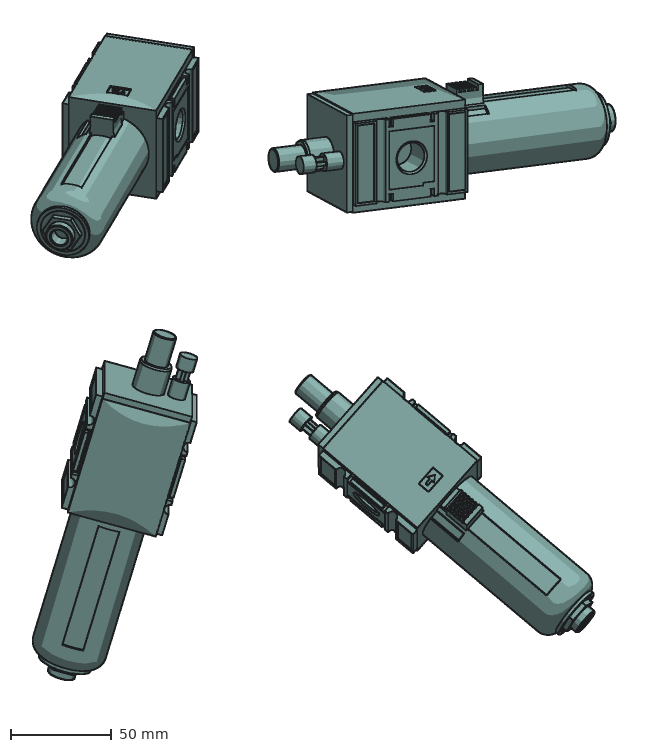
import cadquery as cq
import math


block_width = 45.5
block_length = 62.0
block_flat_height = 51.0
crown_rise = 1.5
crown_slope_length = 6.4
lid_length = 3.2
lid_height = 50.0
lid_side_inset = 0.1
block_top = block_flat_height / 2
front_y = -block_length / 2
back_y = block_length / 2
lid_y = back_y + lid_length

overall_width = 52.0
plate_height = 42.4
plate_end_inset = 0.1
plate_thickness = (overall_width - block_width) / 2
plate_x = overall_width / 2
panel_length = 9.2
panel_height = 40.0
panel_depth = 0.7
panel_center_y = 25.2
groove_diameter = 5.0
groove_spacing = 34.0
groove_lip = 0.3
slot_width = 2.0
slot_depth = 3.9
slot_center_y = 11.4
clip_gap = 0.7
clip_gap_center_x = 23.6
recess_length = 24.7
recess_height = 30.0
recess_depth = 0.2
recess_step_length = 6.0
recess_step_height = 1.4
port_diameter = 14.95
port_mouth_diameter = 17.0
port_depth = 16.0

arrow_pocket_width = 10.8
arrow_pocket_length = 6.4
arrow_pocket_y = -20.1
arrow_floor_z = 26.0
arrow_half_length = 3.2
arrow_shaft_half = 0.7
arrow_head_half = 2.2

knob_tip_y = 64.0
knob_shoulder_y = 48.5
knob_diameter = 12.0
knob_collar_diameter = 16.5
knob_tip_chamfer = 0.5
collar_chamfer_length = 1.2
collar_chamfer_width = 0.4
plug_x = -14.5
plug_diameter = 9.0
plug_tip_y = 56.3
plug_head_y = 49.2
plug_base_y = 43.4
plug_neck_diameter = 6.3
plug_rib_width = 1.8

bowl_diameter = 37.8
bowl_radius = bowl_diameter / 2
liner_radius = 17.35
dome_start_y = -106.4
dome_end_y = -113.7
rim_end_y = -115.5
rim_diameter = 27.0
rim_recess_diameter = 23.0
rim_recess_depth = 0.5
hex_end_y = -117.8
hex_flats = 17.0
hex_turn = 30
drain_end_y = -122.0
drain_diameter = 14.0
drain_chamfer = 0.5
drain_hole_diameter = 8.57
drain_hole_depth = 8.0
drain_hole_chamfer = 0.5
window_width = 10.8
window_end_y = -100.8
lower_window_start_y = -36.0
guide_inner_x = -8.2
guide_outer_x = -12.9

latch_width = 12.0
latch_start_y = -31.6
latch_step_y = -34.6
latch_lip_y = -46.3
latch_end_y = -49.0
latch_top = 27.49
latch_root = 16.7
latch_tooth_top = 26.3
latch_valley = 24.6
latch_base_top = 22.4
tooth_count = 5
flange_start_y = -35.9
flange_top = 20.7
flange_bottom = 17.9
flange_width = 0.65


def box(x_range, y_range, z_range):
    """Box between the given limits along each axis."""
    (x0, x1), (y0, y1), (z0, z1) = x_range, y_range, z_range
    solid = cq.Workplane("XY").box(x1 - x0, y1 - y0, z1 - z0, centered=False)
    return solid.translate((x0, y0, z0))


def box_about(center, size):
    """Box of the given size around a center point."""
    return cq.Workplane("XY").box(*size).translate(center)


def rod(diameter, y_from, y_to, x=0):
    """Round bar parallel to Y."""
    plane = cq.Workplane("XZ", origin=(x, y_from, 0))
    return plane.circle(diameter / 2).extrude(y_from - y_to)


def make_block():
    """Block whose top and bottom are shallow arcs with sloped ends."""
    half = block_width / 2
    crown = block_top + crown_rise
    section = (
        cq.Workplane("XZ", origin=(0, back_y, 0))
        .moveTo(-half, -block_top)
        .lineTo(-half, block_top)
        .threePointArc((0, crown), (half, block_top))
        .lineTo(half, -block_top)
        .threePointArc((0, -crown), (-half, -block_top))
        .close()
        .extrude(block_length)
    )
    slope_y = back_y - crown_slope_length
    profile = (
        cq.Workplane("YZ", origin=(-half, 0, 0))
        .polyline([
            (-back_y, -block_top), (-back_y, block_top),
            (-slope_y, crown), (slope_y, crown),
            (back_y, block_top), (back_y, -block_top),
            (slope_y, -crown), (-slope_y, -crown),
        ])
        .close()
        .extrude(block_width)
    )
    return section.intersect(profile)


def make_plate():
    """Coupling plate on the -X side."""
    inner_x = -block_width / 2
    half_length = block_length / 2 - plate_end_inset
    half_height = plate_height / 2
    plate = box((-plate_x, inner_x), (-half_length, half_length), (-half_height, half_height))
    slot_z = (plate_height - slot_depth) / 2
    for side in (-1, 1):
        plate = plate.cut(box_about(
            (-plate_x, side * panel_center_y, 0), (2 * panel_depth, panel_length, panel_height)))

        groove_y = side * groove_spacing / 2
        groove = (
            cq.Workplane("XY", origin=(-plate_x + groove_lip, groove_y, -plate_height / 2))
            .circle(groove_diameter / 2)
            .extrude(plate_height)
        )
        lip = box_about((-plate_x, groove_y, 0), (2 * groove_lip, groove_diameter, plate_height))
        plate = plate.cut(groove).cut(lip)

        for end in (-1, 1):
            plate = plate.cut(box_about(
                ((inner_x - plate_x) / 2, side * slot_center_y, end * slot_z),
                (plate_thickness, slot_width, slot_depth)))
    for end in (-1, 1):
        plate = plate.cut(box_about(
            (-clip_gap_center_x, 0, end * slot_z), (clip_gap, 2 * slot_center_y, slot_depth)))
    recess = box_about((-plate_x, 0, 0), (2 * recess_depth, recess_length, recess_height))
    step = box_about(
        (-plate_x, (recess_step_length - recess_length) / 2, (recess_step_height - recess_height) / 2),
        (2 * recess_depth, recess_step_length, recess_step_height))
    return plate.cut(recess.cut(step))


def make_port():
    """Blind port hole with a chamfered mouth, on the -X side."""
    mouth_x = -plate_x + recess_depth
    chamfer = (port_mouth_diameter - port_diameter) / 2
    return (
        cq.Workplane("XY")
        .polyline([
            (mouth_x, 0), (mouth_x, port_mouth_diameter / 2),
            (mouth_x + chamfer, port_diameter / 2),
            (mouth_x + port_depth, port_diameter / 2), (mouth_x + port_depth, 0),
        ])
        .close()
        .revolve(360, (0, 0, 0), (1, 0, 0))
    )


def make_arrow_pocket():
    """Rectangular pocket in the crown, leaving a flow arrow standing."""
    height = block_top + crown_rise - arrow_floor_z
    plane = cq.Workplane("XY", origin=(0, arrow_pocket_y, arrow_floor_z))
    arrow = (
        plane.polyline([
            (-arrow_half_length, -arrow_shaft_half), (0, -arrow_shaft_half),
            (0, -arrow_head_half), (arrow_half_length, 0), (0, arrow_head_half),
            (0, arrow_shaft_half), (-arrow_half_length, arrow_shaft_half),
        ])
        .close()
        .extrude(height)
    )
    return plane.rect(arrow_pocket_width, arrow_pocket_length).extrude(height).cut(arrow)


def make_knob():
    """Stepped adjusting knob on the bowl axis."""
    radius = knob_diameter / 2
    collar = knob_collar_diameter / 2
    return (
        cq.Workplane("XY")
        .polyline([
            (0, lid_y), (collar, lid_y),
            (collar, knob_shoulder_y - collar_chamfer_length),
            (collar - collar_chamfer_width, knob_shoulder_y),
            (radius, knob_shoulder_y), (radius, knob_tip_y - knob_tip_chamfer),
            (radius - knob_tip_chamfer, knob_tip_y), (0, knob_tip_y),
        ])
        .close()
        .revolve(360, (0, 0, 0), (0, 1, 0))
    )


def make_plug():
    """Filler plug: round base and head joined by a cross-ribbed neck."""
    neck_length = plug_head_y - plug_base_y
    neck_center = (plug_x, (plug_head_y + plug_base_y) / 2, 0)
    cross = box_about(neck_center, (plug_rib_width, neck_length, plug_neck_diameter))
    cross = cross.union(box_about(neck_center, (plug_neck_diameter, neck_length, plug_rib_width)))
    neck = cross.intersect(rod(plug_neck_diameter, plug_base_y, plug_head_y, plug_x))
    base = rod(plug_diameter, lid_y, plug_base_y, plug_x)
    head = rod(plug_diameter, plug_head_y, plug_tip_y, plug_x)
    return base.union(neck).union(head)


def make_housing():
    lid_width = block_width - 2 * lid_side_inset
    lid = box_about((0, back_y + lid_length / 2, 0), (lid_width, lid_length, lid_height))
    housing = make_block().union(lid)
    plate = make_plate()
    port = make_port()
    housing = housing.union(plate).union(plate.mirror("YZ"))
    housing = housing.cut(port).cut(port.mirror("YZ"))
    housing = housing.cut(make_arrow_pocket())
    return housing.union(make_knob()).union(make_plug())


def make_bowl_shell():
    """Round bowl with a domed end and a raised rim around the drain."""
    rim = rim_diameter / 2
    drop = bowl_radius - rim
    dome_length = dome_start_y - dome_end_y
    dome_radius = (drop**2 + dome_length**2) / (2 * drop)
    dome_angle = math.asin(dome_length / dome_radius)
    dome_middle = (
        bowl_radius - dome_radius * (1 - math.cos(dome_angle / 2)),
        dome_start_y - dome_radius * math.sin(dome_angle / 2),
    )
    shell = (
        cq.Workplane("XY")
        .moveTo(0, front_y)
        .lineTo(bowl_radius, front_y)
        .lineTo(bowl_radius, dome_start_y)
        .threePointArc(dome_middle, (rim, dome_end_y))
        .lineTo(rim, rim_end_y)
        .lineTo(0, rim_end_y)
        .close()
        .revolve(360, (0, 0, 0), (0, 1, 0))
    )
    return shell.cut(rod(rim_recess_diameter, rim_end_y + rim_recess_depth, rim_end_y))


def make_drain():
    """Hexagon and round outlet with a blind hole."""
    hex_start_y = rim_end_y + rim_recess_depth
    hexagon = (
        cq.Workplane("XZ", origin=(0, hex_start_y, 0))
        .polygon(6, hex_flats, circumscribed=True)
        .extrude(hex_start_y - hex_end_y)
        .rotate((0, 0, 0), (0, 1, 0), hex_turn)
    )
    outlet = rod(drain_diameter, hex_end_y, drain_end_y).faces("<Y").chamfer(drain_chamfer)
    hole = rod(drain_hole_diameter, drain_end_y + drain_hole_depth, drain_end_y)
    drain = hexagon.union(outlet).cut(hole)
    mouth = drain.faces("<Y").edges(cq.selectors.RadiusNthSelector(0))
    return mouth.chamfer(drain_hole_chamfer)


def keep_outside_liner(cutter):
    """Limit a cutter to the wall outside the liner."""
    return cutter.cut(rod(2 * liner_radius, front_y, dome_start_y))


def make_windows():
    """Sight windows through the outer wall, above and below."""
    half = window_width / 2
    upper = box((-half, half), (window_end_y, latch_end_y), (0, bowl_diameter))
    lower = box((-half, half), (window_end_y, lower_window_start_y), (-bowl_diameter, 0))
    return keep_outside_liner(upper.union(lower))


def make_guide():
    """Guide slot beside the latch: one upright wall and one radial wall."""
    outer_z = math.sqrt(bowl_radius**2 - guide_outer_x**2)
    wedge = (
        cq.Workplane("XZ", origin=(0, front_y, 0))
        .polyline([
            (0, 0), (guide_outer_x, outer_z), (guide_outer_x, bowl_diameter),
            (guide_inner_x, bowl_diameter), (guide_inner_x, 0),
        ])
        .close()
        .extrude(front_y - latch_end_y)
    )
    return keep_outside_liner(wedge)


def make_latch():
    """Toothed thumb latch with flared sides, rooted in the bowl."""
    half = latch_width / 2
    x_range = (-half, half)
    latch = box(x_range, (latch_end_y, latch_start_y), (latch_root, latch_base_top))
    latch = latch.union(box(x_range, (latch_end_y, latch_step_y), (latch_root, latch_valley)))
    latch = latch.union(box(x_range, (latch_end_y, latch_lip_y), (latch_root, latch_top)))
    pitch = (latch_step_y - latch_lip_y) / tooth_count
    for tooth in range(tooth_count):
        tooth_y = latch_step_y - tooth * pitch
        latch = latch.union(box(x_range, (tooth_y - pitch / 2, tooth_y), (latch_root, latch_tooth_top)))
    flare = half + flange_width
    flange = (
        cq.Workplane("XZ", origin=(0, flange_start_y, 0))
        .polyline([
            (-half, flange_top), (half, flange_top), (flare, flange_bottom),
            (flare, latch_root), (-flare, latch_root), (-flare, flange_bottom),
        ])
        .close()
        .extrude(flange_start_y - latch_end_y)
    )
    return latch.union(flange)


def make_bowl():
    bowl = make_bowl_shell().union(make_drain())
    bowl = bowl.cut(make_windows()).cut(make_guide())
    return bowl.union(make_latch())


housing = make_housing()
bowl = make_bowl()

result = cq.Compound.makeCompound([housing.val(), bowl.val()])